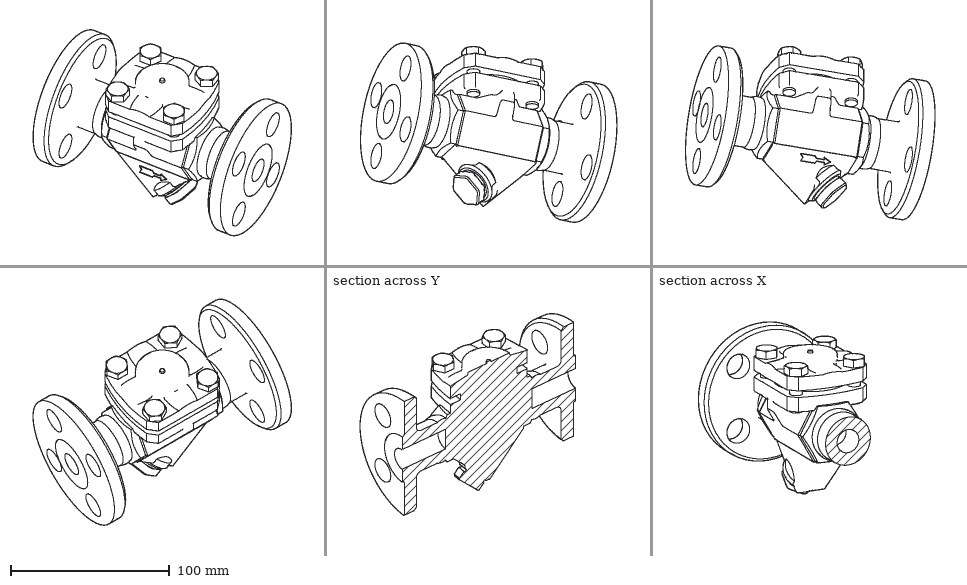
import cadquery as cq
import math


half_length = 70.0
bore_radius = 7.5
bore_end_x = 35.0
raised_face_height = 1.6
raised_face_radius = 17.6
raised_face_fillet = 1.5
flange_radius = 44.5
flange_thickness = 10.2
flange_chamfer = 2.1
flange_bolt_circle = 60.3
flange_hole_diameter = 16.0
flange_hole_count = 4
neck_radius = 16.0
neck_fillet = 3.5
bead_start_x = 41.5
bead_peak_x = 38.0
bead_radius = 17.0
bead_end_radius = 16.4
flange_back_x = half_length - raised_face_height - flange_thickness

hub_flats = 37.2
hub_end_x = 34.9
hub_cone_run = 3.2
hub_cone_angle = 58.0
center_flats = 39.0
center_half_length = 28.2
center_step = 1.1
center_corner_y = center_flats / math.sqrt(3)
hex_slope = math.tan(math.radians(30))

plate_ridge_x = 31.1
plate_side_x = 28.2
plate_half_width = 28.2
plate_corner_chamfer = 5.4
seat_plate_bottom = 15.2
seat_plate_top = 25.2
seat_plate_fillet = 1.6
cover_bottom = 29.6
cover_top = 38.7
gasket_radius = 22.9

cap_radius = 17.0
cap_top = 44.0
cap_fillet = 1.0
cap_base_fillet = 1.2
nub_base_radius = 1.75
nub_top_radius = 1.4
nub_top = 45.2
ramp_inner_reach = 14.0
ramp_inner_rise = 3.8
ramp_outer_reach = 34.0
ramp_outer_rise = 0.4
front_ramp_inner_radius = 13.0
front_ramp_outer_radius = 22.0
side_ramp_inner_radius = 13.5
side_ramp_outer_radius = 30.0

bolt_offset = 20.5
bolt_radius = 4.0
bolt_end_z = 13.7
bolt_head_flats = 13.0
bolt_head_chamfer = 0.5

column_root_x = 21.0
column_root_y = 5.0
column_face_x = 8.75
column_face_y = 22.2
column_corner_fillet = 2.2
post_half_width = 4.9
post_draft = 0.8
post_root_fillet = 1.6
post_corner_fillet = 1.5
flank_root_fillet = 1.8

wedge_half_width = 11.0
wedge_left_reach = 48.3
wedge_right_reach = 46.8
wedge_fillet = 2.0
boss_axis_offset = 27.9
boss_radius = 13.75
boss_back_s = 25.0
boss_full_s = 28.4
boss_chamfer_s = 33.2
boss_face_s = 34.8
boss_face_radius = 12.1
plug_neck_radius = 10.5
plug_head_start = 36.7
plug_head_end = 42.8
plug_flats = 21.0
plug_corner_fillet = 3.7
plug_chamfer = 0.9

arrow_tail_x = -10.0
arrow_notch_x = -8.5
arrow_shoulder_x = -0.5
arrow_shaft_x = 0.5
arrow_head_x = 5.6
arrow_tip_x = 9.8
arrow_z = -26.5
arrow_half_width = 2.7
arrow_shaft_half_width = 1.05
arrow_height = 0.5


def hexagon_bar(flats, half_span):
    """Hexagonal bar along X with flats facing +Z and -Z."""
    across_corners = 2 * flats / math.sqrt(3)
    return cq.Workplane("YZ").polygon(6, across_corners).extrude(half_span, both=True)


def pipe_end():
    """Flange, neck and bead on the +X side, turned about X."""
    face_x = half_length - raised_face_height
    root_radius = raised_face_radius + raised_face_fillet
    mid = math.sqrt(0.5)
    fillet_mid_x = face_x + raised_face_fillet * (1 - mid)
    fillet_mid_r = raised_face_radius + raised_face_fillet * (1 - mid)
    neck_mid_x = flange_back_x - neck_fillet * (1 - mid)
    neck_mid_r = neck_radius + neck_fillet * (1 - mid)
    outline = (
        cq.Workplane("XY")
        .moveTo(0, 0)
        .lineTo(half_length, 0)
        .lineTo(half_length, raised_face_radius)
        .lineTo(face_x + raised_face_fillet, raised_face_radius)
        .threePointArc((fillet_mid_x, fillet_mid_r), (face_x, root_radius))
        .lineTo(face_x, flange_radius)
        .lineTo(flange_back_x + flange_chamfer, flange_radius)
        .lineTo(flange_back_x, flange_radius - flange_chamfer)
        .lineTo(flange_back_x, neck_radius + neck_fillet)
        .threePointArc((neck_mid_x, neck_mid_r), (flange_back_x - neck_fillet, neck_radius))
        .lineTo(bead_start_x, neck_radius)
        .threePointArc((bead_peak_x, bead_radius), (hub_end_x, bead_end_radius))
        .lineTo(0, bead_end_radius)
        .close()
    )
    end = outline.revolve(360, (0, 0, 0), (1, 0, 0))
    holes = (
        cq.Workplane("YZ", origin=(flange_back_x, 0, 0))
        .polarArray(flange_bolt_circle / 2, 45, 360, flange_hole_count)
        .circle(flange_hole_diameter / 2)
        .extrude(half_length - flange_back_x)
    )
    return end.cut(holes)


def body():
    """Hexagonal hub with coned ends and a slightly larger middle."""
    cone_top = bead_end_radius + hub_cone_run * math.tan(math.radians(hub_cone_angle))
    cones = (
        cq.Workplane("XY")
        .moveTo(-hub_end_x, 0)
        .lineTo(-hub_end_x, bead_end_radius)
        .lineTo(-hub_end_x + hub_cone_run, cone_top)
        .lineTo(hub_end_x - hub_cone_run, cone_top)
        .lineTo(hub_end_x, bead_end_radius)
        .lineTo(hub_end_x, 0)
        .close()
        .revolve(360, (0, 0, 0), (1, 0, 0))
    )
    hub = hexagon_bar(hub_flats, hub_end_x).intersect(cones)
    middle = hexagon_bar(center_flats, center_half_length).faces("<X or >X").chamfer(center_step)
    return hub.union(middle)


def plate(bottom, top):
    """Plate with cut corners whose X ends bow outward."""
    side_y = plate_half_width - plate_corner_chamfer
    front_x = plate_side_x - plate_corner_chamfer
    outline = (
        cq.Workplane("XY", origin=(0, 0, bottom))
        .moveTo(-front_x, -plate_half_width)
        .lineTo(front_x, -plate_half_width)
        .lineTo(plate_side_x, -side_y)
        .threePointArc((plate_ridge_x, 0), (plate_side_x, side_y))
        .lineTo(front_x, plate_half_width)
        .lineTo(-front_x, plate_half_width)
        .lineTo(-plate_side_x, side_y)
        .threePointArc((-plate_ridge_x, 0), (-plate_side_x, -side_y))
        .close()
    )
    return outline.extrude(top - bottom)


def ramp(inner_radius, outer_radius):
    """Tapering round ramp lying along -Y, its crest sinking away from the cap."""
    return (
        cq.Workplane("XZ", origin=(0, -ramp_inner_reach, cover_top + ramp_inner_rise - inner_radius))
        .circle(inner_radius)
        .workplane(offset=ramp_outer_reach - ramp_inner_reach)
        .center(0, inner_radius - ramp_inner_rise + ramp_outer_rise - outer_radius)
        .circle(outer_radius)
        .loft(ruled=True)
    )


def cover():
    """Cover plate with four tapering ramps, a round cap and a center nub."""
    envelope = plate(cover_bottom, cap_top)
    front_ramp = ramp(front_ramp_inner_radius, front_ramp_outer_radius)
    side_ramp = ramp(side_ramp_inner_radius, side_ramp_outer_radius)
    solid = plate(cover_bottom, cover_top)
    for shape, angle in ((front_ramp, 0), (side_ramp, 90), (front_ramp, 180), (side_ramp, 270)):
        solid = solid.union(shape.rotate((0, 0, 0), (0, 0, 1), angle).intersect(envelope))
    cap = cq.Workplane("XY", origin=(0, 0, cover_bottom)).circle(cap_radius).extrude(cap_top - cover_bottom)
    solid = solid.union(cap)
    cap_foot = cq.selectors.BoxSelector(
        (-cap_radius - 1, -cap_radius - 1, cover_top - 0.1),
        (cap_radius + 1, cap_radius + 1, cover_top + ramp_inner_rise),
        boundingbox=True,
    )
    solid = solid.edges(cap_foot).fillet(cap_base_fillet)
    solid = solid.faces(">Z").edges().fillet(cap_fillet)
    nub = cq.Workplane("XY", origin=(0, 0, cap_top)).circle(nub_base_radius)
    nub = nub.workplane(offset=nub_top - cap_top).circle(nub_top_radius).loft()
    gasket = cq.Workplane("XY", origin=(0, 0, seat_plate_top)).circle(gasket_radius)
    return solid.union(nub).union(gasket.extrude(cover_bottom - seat_plate_top))


def hexagon_head(flats, height, edge_chamfer):
    """Hexagonal head standing on the XY plane, its top corners turned to a cone."""
    across_corners = 2 * flats / math.sqrt(3)
    cone = cq.Workplane("XY").circle(across_corners / 2).extrude(height).faces(">Z").chamfer(
        edge_chamfer, across_corners / 2 - flats / 2
    )
    return cq.Workplane("XY").polygon(6, across_corners).extrude(height).intersect(cone)


def cover_bolts():
    """Four hexagon bolts; heads on one diagonal are turned 30 degrees."""
    head = hexagon_head(bolt_head_flats, cap_top - cover_top, bolt_head_chamfer)
    head = head.translate((0, 0, cover_top))
    shank = cq.Workplane("XY", origin=(0, 0, bolt_end_z)).circle(bolt_radius)
    shank = shank.extrude(cover_top - bolt_end_z)
    bolts = cq.Workplane("XY")
    for side_x, side_y, turn in ((-1, 1, 0), (1, -1, 0), (1, 1, 30), (-1, -1, 30)):
        bolt = head.rotate((0, 0, 0), (0, 0, 1), turn).union(shank)
        bolts = bolts.union(bolt.translate((side_x * bolt_offset, side_y * bolt_offset, 0)))
    return bolts


def seat_support():
    """Flanked column and narrow post carrying the seat plate on the -Y side."""
    post_inner = post_half_width + post_draft
    half_plan = [
        (column_root_x, -column_root_y),
        (column_face_x, -column_face_y),
        (post_inner, -column_face_y),
        (post_half_width, -plate_half_width),
    ]
    mirrored_plan = [(-x, y) for x, y in reversed(half_plan)]
    support = cq.Workplane("XY").polyline(half_plan + mirrored_plan).close().extrude(center_flats / 2)
    for edge_x, edge_y, radius in (
        (column_face_x, -column_face_y, column_corner_fillet),
        (post_inner, -column_face_y, post_root_fillet),
        (post_half_width, -plate_half_width, post_corner_fillet),
    ):
        for x in (-edge_x, edge_x):
            support = support.edges(cq.selectors.NearestToPointSelector((x, edge_y, center_flats / 4)))
            support = support.fillet(radius)
    bevel = (
        cq.Workplane("YZ")
        .moveTo(0, 0)
        .lineTo(-center_corner_y, 0)
        .lineTo(-center_corner_y - hex_slope * seat_plate_top, seat_plate_top)
        .lineTo(0, seat_plate_top)
        .close()
        .extrude(column_root_x, both=True)
    )
    return support.intersect(bevel)


def fillet_flank_roots(solid):
    """Round the sloping lines where the column flanks leave the hexagon."""
    flank_slope = (column_face_y - column_root_y) / (column_root_x - column_face_x)
    mid_z = seat_plate_bottom / 2
    mid_y = center_corner_y - hex_slope * mid_z
    mid_x = column_root_x - (mid_y - column_root_y) / flank_slope
    for x in (-mid_x, mid_x):
        for y in (-mid_y, mid_y):
            near_flank = cq.selectors.NearestToPointSelector((x, y, mid_z))
            solid = solid.edges(near_flank).fillet(flank_root_fillet)
    return solid


def wedge():
    """Triangular strainer pocket with rounded sloping edges."""
    tip = ((wedge_right_reach - wedge_left_reach) / 2, -(wedge_left_reach + wedge_right_reach) / 2)
    solid = (
        cq.Workplane("XZ")
        .polyline([(-wedge_left_reach, 0), tip, (wedge_right_reach, 0)])
        .close()
        .extrude(wedge_half_width, both=True)
    )
    solid = solid.edges("not (|X or |Y)").fillet(wedge_fillet)
    below_body = cq.Workplane("XY").box(
        2 * center_half_length, 4 * wedge_half_width, wedge_left_reach, centered=(True, True, False)
    )
    return solid.intersect(below_body.translate((0, 0, -wedge_left_reach)))


def strainer_plug():
    """Round boss and hexagon plug, built along Z then laid on the 45 degree axis."""
    boss = (
        cq.Workplane("XZ")
        .moveTo(0, boss_back_s)
        .lineTo(boss_radius - (boss_full_s - boss_back_s), boss_back_s)
        .lineTo(boss_radius, boss_full_s)
        .lineTo(boss_radius, boss_chamfer_s)
        .lineTo(boss_face_radius, boss_face_s)
        .lineTo(plug_neck_radius, boss_face_s)
        .lineTo(plug_neck_radius, plug_head_start)
        .lineTo(0, plug_head_start)
        .close()
        .revolve(360, (0, 0, 0), (0, 1, 0))
    )
    head = (
        cq.Workplane("XY")
        .polygon(6, 2 * plug_flats / math.sqrt(3))
        .extrude(plug_head_end - plug_head_start)
        .edges("|Z")
        .fillet(plug_corner_fillet)
        .faces(">Z")
        .chamfer(plug_chamfer)
        .translate((0, 0, plug_head_start))
    )
    upright = boss.union(head)
    laid = upright.rotate((0, 0, 0), (0, 1, 0), 135)
    return laid.translate((-boss_axis_offset / 2, 0, -boss_axis_offset / 2))


def flow_arrow():
    """Raised arrow on the -Y face of the wedge, pointing to +X."""
    upper = [
        (arrow_notch_x, 0),
        (arrow_tail_x, arrow_half_width),
        (arrow_shoulder_x, arrow_half_width),
        (arrow_shaft_x, arrow_shaft_half_width),
        (arrow_head_x, arrow_shaft_half_width),
        (arrow_head_x, arrow_half_width),
        (arrow_tip_x, 0),
    ]
    lower = [(x, -z) for x, z in reversed(upper[1:-1])]
    arrow = cq.Workplane("XZ", origin=(0, -wedge_half_width, arrow_z)).polyline(upper + lower).close()
    return arrow.extrude(arrow_height)


def bores():
    """Blind flow bore in each pipe end."""
    depth = half_length - bore_end_x
    bore = cq.Workplane("YZ", origin=(bore_end_x, 0, 0)).circle(bore_radius).extrude(depth)
    return bore.union(bore.mirror("YZ"))


right_end = pipe_end()
support = seat_support()
seat_plate = plate(seat_plate_bottom, seat_plate_top).faces("<Z").edges().fillet(seat_plate_fillet)

result = body().union(right_end).union(right_end.mirror("YZ"))
result = result.union(support).union(support.mirror("XZ"))
result = result.union(seat_plate).union(cover()).union(cover_bolts())
result = result.union(wedge()).union(strainer_plug()).union(flow_arrow())
result = fillet_flank_roots(result.cut(bores()))